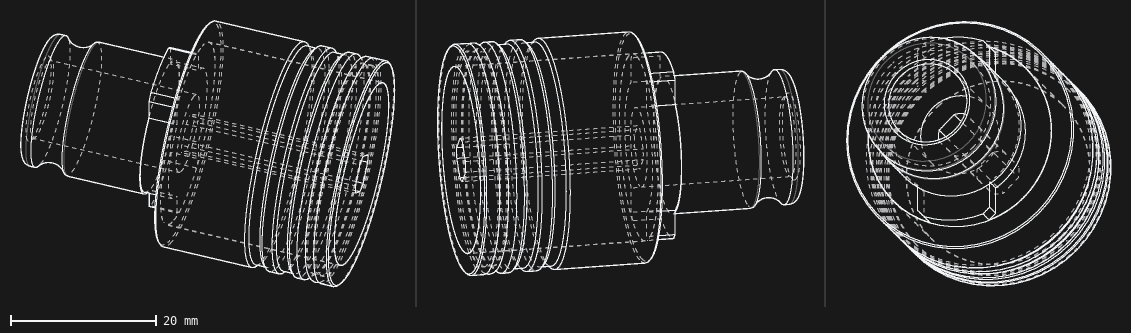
import cadquery as cq
import math

total_length = 46.5
housing_front = 21.5
key_front = 17.45

rim_dia = 18.7
rim_fillet = 2.0 / 2
rim_end = 1.7
neck_groove_radius = 2.75
neck_groove_end = 6.25
neck_edge_dia = 18.9
neck_bevel_length = 0.3
neck_dia = 19.0
collar_dia = 18.5
core_dia = 25.8

key_width = 10.15
key_side_height = 11.3

shank_bore_dia = 11.0
shank_bore_chamfer = 0.5
shank_bore_depth = housing_front
drive_across_flats = 5.2
drive_corner_dia = 6.0

housing_dia = 32.0
housing_bore_dia = 25.9
edge_chamfer = 0.25

groove_floor_dia = 31.0
groove_bevel_length = 0.45
groove_starts = (34.5, 38.45)
groove_length = 2.5

cone_start = 42.05
cone_small_dia = 29.9
bead_width = 1.2
flange_start = 44.45

housing_radius = housing_dia / 2
groove_floor_radius = groove_floor_dia / 2
cone_small_radius = cone_small_dia / 2
cone_end = cone_start + housing_radius - cone_small_radius
bead_radius = bead_width / 2


def cylinder(diameter, start, end):
    """Solid cylinder along X between two stations."""
    return cq.Workplane("YZ", origin=(start, 0, 0)).circle(diameter / 2).extrude(end - start)


def revolve_about_x(profile):
    """Full turn of an XY half profile about the X axis."""
    return profile.close().revolve(360, (0, 0, 0), (1, 0, 0))


def insert_turned_shape():
    """Nose rim, neck groove, neck, collar and core as one turned shape."""
    rim_radius = rim_dia / 2
    groove_end_radius = neck_edge_dia / 2
    neck_start = neck_groove_end + neck_bevel_length
    return revolve_about_x(
        cq.Workplane("XY")
        .lineTo(0, rim_radius - rim_fillet)
        .radiusArc((rim_fillet, rim_radius), rim_fillet)
        .lineTo(rim_end, rim_radius)
        .radiusArc((neck_groove_end, groove_end_radius), -neck_groove_radius)
        .lineTo(neck_start, neck_dia / 2)
        .lineTo(key_front, neck_dia / 2)
        .lineTo(key_front, collar_dia / 2)
        .lineTo(housing_front, collar_dia / 2)
        .lineTo(housing_front, core_dia / 2)
        .lineTo(total_length, core_dia / 2)
        .lineTo(total_length, 0)
    )


def drive_keys():
    """Two opposite keys: a chamfered bar across the axis, trimmed to the core diameter."""
    half_width = key_width / 2
    peak_height = key_side_height + half_width
    bar = (
        cq.Workplane("YZ", origin=(key_front, 0, 0))
        .polyline([
            (-half_width, -key_side_height),
            (0, -peak_height),
            (half_width, -key_side_height),
            (half_width, key_side_height),
            (0, peak_height),
            (-half_width, key_side_height),
        ])
        .close()
        .extrude(housing_front - key_front)
    )
    return bar.intersect(cylinder(core_dia, key_front, housing_front))


def shank_bore():
    """Round bore from the nose with a 45 degree lead-in chamfer."""
    bore_radius = shank_bore_dia / 2
    return revolve_about_x(
        cq.Workplane("XY")
        .lineTo(0, bore_radius + shank_bore_chamfer)
        .lineTo(shank_bore_chamfer, bore_radius)
        .lineTo(shank_bore_depth, bore_radius)
        .lineTo(shank_bore_depth, 0)
    )


def drive_hole():
    """Square hole standing on its corner, with rounded-off corners."""
    half_diagonal = drive_across_flats / math.sqrt(2)
    square = (
        cq.Workplane("YZ", origin=(shank_bore_depth, 0, 0))
        .polyline([(half_diagonal, 0), (0, half_diagonal), (-half_diagonal, 0), (0, -half_diagonal)])
        .close()
        .extrude(total_length - shank_bore_depth)
    )
    return square.intersect(cylinder(drive_corner_dia, shank_bore_depth, total_length))


def make_insert():
    body = insert_turned_shape().union(drive_keys())
    return body.cut(shank_bore()).cut(drive_hole())


def groove_outline(start):
    """Four corners of one shallow groove with sloping sides."""
    end = start + groove_length
    return [
        (start, housing_radius),
        (start + groove_bevel_length, groove_floor_radius),
        (end - groove_bevel_length, groove_floor_radius),
        (end, housing_radius),
    ]


def housing_turned_shape():
    """Sleeve with outer grooves, a rear cone, a relief and a rear flange."""
    bore_radius = housing_bore_dia / 2
    chamfered_radius = housing_radius - edge_chamfer
    outline = [
        (housing_front, bore_radius),
        (housing_front, chamfered_radius),
        (housing_front + edge_chamfer, housing_radius),
    ]
    for start in groove_starts:
        outline += groove_outline(start)
    outline += [
        (cone_start, housing_radius),
        (cone_end, cone_small_radius),
        (flange_start, cone_small_radius),
        (flange_start, housing_radius),
        (total_length - edge_chamfer, housing_radius),
        (total_length, chamfered_radius),
        (total_length, bore_radius),
    ]
    return revolve_about_x(cq.Workplane("XY").polyline(outline))


def bead():
    """Round ring on the floor of the relief, level with the housing's outside."""
    return (
        cq.Workplane("XY")
        .moveTo(cone_end + bead_radius, housing_radius - bead_radius)
        .circle(bead_radius)
        .revolve(360, (0, 0, 0), (1, 0, 0))
    )


def make_housing():
    return housing_turned_shape().union(bead())


insert = make_insert()
housing = make_housing()

result = cq.Compound.makeCompound([insert.solids().val(), housing.solids().val()])